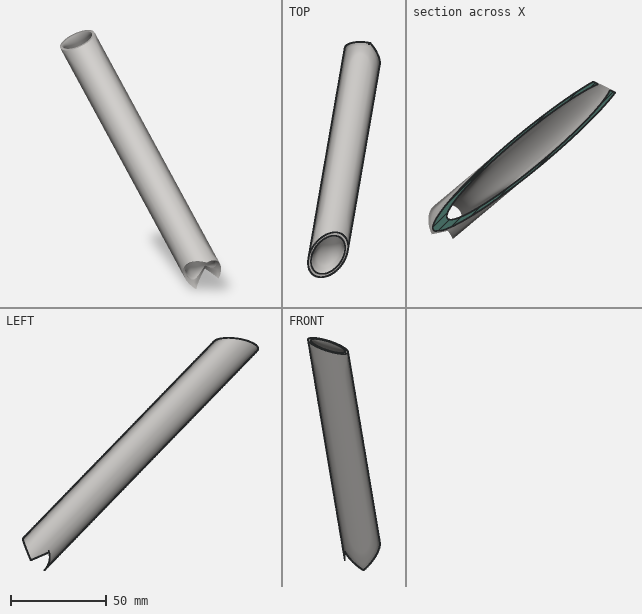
import cadquery as cq

OUTER_RADIUS = 9.9
WALL = 1.5
INNER_RADIUS = OUTER_RADIUS - WALL

UPPER_END = cq.Vector(-18.6, -107.8, 111.2)
MITRE_NORMAL = cq.Vector(0.41, -0.25, 1.0)

OVERRUN = 3 * OUTER_RADIUS
ARM_LENGTH = 4 * OUTER_RADIUS
CUTTER_SIZE = 10 * OUTER_RADIUS


def cylinder(start, direction, radius, length):
    """Solid cylinder running from start along direction."""
    return cq.Workplane(obj=cq.Solid.makeCylinder(radius, length, start, direction))


def coping_elbow():
    """Solid square elbow of the tube's own diameter, with arms along +X and +Y."""
    path = cq.Workplane("XY").polyline([(ARM_LENGTH, 0), (0, 0), (0, ARM_LENGTH)])
    end = cq.Workplane("YZ", origin=(ARM_LENGTH, 0, 0)).circle(OUTER_RADIUS)
    return end.sweep(path, transition="right")


def mitre_cutter():
    """Block on the far side of the upper end's cutting plane."""
    plane = cq.Plane(origin=UPPER_END, normal=MITRE_NORMAL)
    return cq.Workplane(plane).rect(CUTTER_SIZE, CUTTER_SIZE).extrude(CUTTER_SIZE)


joint = cq.Vector(0, 0, 0)
length = UPPER_END.Length + OVERRUN
tube = cylinder(joint, UPPER_END, OUTER_RADIUS, length)
tube = tube.cut(cylinder(joint, UPPER_END, INNER_RADIUS, length))

tube = tube.cut(mitre_cutter())

result = tube.cut(coping_elbow())